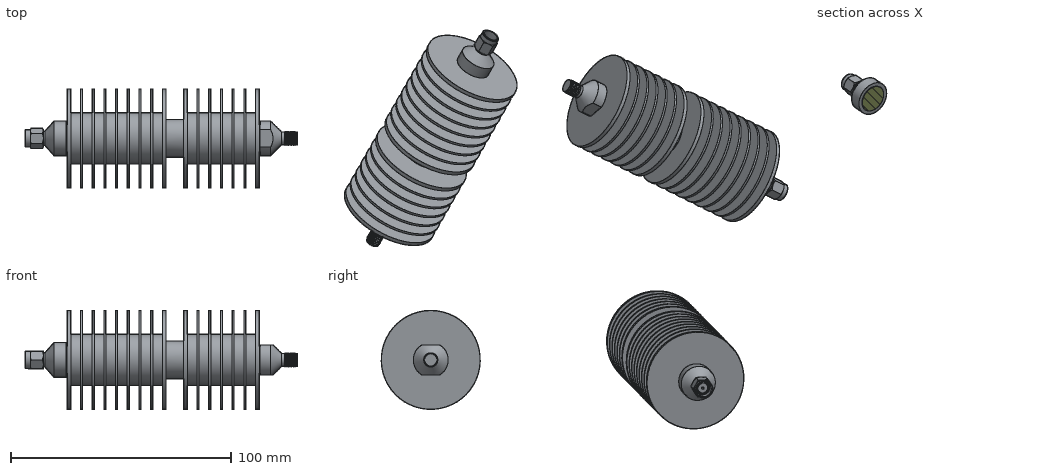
import cadquery as cq
import math

TOTAL_LENGTH = 123.5
LEFT_END = -TOTAL_LENGTH / 2
RIGHT_END = TOTAL_LENGTH / 2

FIN_RADIUS = 22.5
HUB_RADIUS = 11.7
BARREL_RADIUS = 8.6
END_FIN_THICKNESS = 1.7
FIN_THICKNESS = 1.0
FIN_PITCH = 5.3
LEFT_FIN_COUNT = 7
RIGHT_FIN_COUNT = 5
BARREL_LENGTH = 7.9
HEAT_SINK_LEFT = -42.7

COLLAR_RADIUS = 7.9
COLLAR_BASE_RADIUS = 6.2
COLLAR_BASE_LENGTH = 0.4
LEFT_COLLAR_LENGTH = 5.5
LEFT_CONE_LENGTH = 4.1
LEFT_NECK_RADIUS = 3.3
SLEEVE_RADIUS = 2.7
SLEEVE_BEVEL = 0.4
RIGHT_COLLAR_LENGTH = 4.8
RIGHT_NECK_RADIUS = 3.0
COLLAR_ACROSS_FLATS = 13.7

THREAD_RADIUS = 3.2
THREAD_ROOT_RADIUS = 2.7
THREAD_PITCH = 0.7
THREAD_RIDGE_COUNT = 7
THREAD_START = 55.8

NUT_LENGTH = 8.3
NUT_LIP_LENGTH = 2.3
NUT_ACROSS_FLATS = 8.0
NUT_BORE_RADIUS = 3.2
NUT_BORE_DEPTH = 3.7
NUT_REAR_BEVEL_LENGTH = 0.5
NUT_FRONT_BEVEL_LENGTH = 0.4
NUT_LIP_BEVEL = 0.2
NUT_CORNER_RADIUS = NUT_ACROSS_FLATS / 2 / math.cos(math.pi / 6)

PIN_RADIUS = 0.5
PIN_PROTRUSION = 0.7
PIN_SEAT_DEPTH = 2.5

AXIS_START = (0, 0, 0)
AXIS_END = (1, 0, 0)


def finned_length(fin_count):
    """Length over both end fins of a section with fin_count thin fins between them."""
    return 2 * END_FIN_THICKNESS + (fin_count + 1) * FIN_PITCH - FIN_THICKNESS


LEFT_SECTION_END = HEAT_SINK_LEFT + finned_length(LEFT_FIN_COUNT)
RIGHT_SECTION_START = LEFT_SECTION_END + BARREL_LENGTH
HEAT_SINK_RIGHT = RIGHT_SECTION_START + finned_length(RIGHT_FIN_COUNT)
NUT_RIGHT = LEFT_END + NUT_LENGTH
SLEEVE_TIP = LEFT_END + NUT_BORE_DEPTH
PIN_SEAT = SLEEVE_TIP + PIN_SEAT_DEPTH
THREAD_END = THREAD_START + THREAD_RIDGE_COUNT * THREAD_PITCH


def disc(start, end, radius):
    """Cylinder about the X axis between two X positions."""
    return cq.Workplane("YZ", origin=(start, 0, 0)).circle(radius).extrude(end - start)


def turned(profile):
    """Solid turned about the X axis from (x, radius) points."""
    return cq.Workplane("XZ").polyline(profile).close().revolve(360, AXIS_START, AXIS_END)


def finned_profile(start, fin_count):
    """Outline points (x, radius) of one finned section, from its left to its right face."""
    first_fin = start + END_FIN_THICKNESS + FIN_PITCH - FIN_THICKNESS
    end = start + finned_length(fin_count)
    points = [
        (start, FIN_RADIUS),
        (start + END_FIN_THICKNESS, FIN_RADIUS),
        (start + END_FIN_THICKNESS, HUB_RADIUS),
    ]
    for i in range(fin_count):
        left = first_fin + i * FIN_PITCH
        right = left + FIN_THICKNESS
        points += [(left, HUB_RADIUS), (left, FIN_RADIUS), (right, FIN_RADIUS), (right, HUB_RADIUS)]
    points += [
        (end - END_FIN_THICKNESS, HUB_RADIUS),
        (end - END_FIN_THICKNESS, FIN_RADIUS),
        (end, FIN_RADIUS),
    ]
    return points


def make_heat_sink():
    """Both finned sections and the barrel between them, as one turned solid."""
    profile = [(HEAT_SINK_LEFT, 0)]
    profile += finned_profile(HEAT_SINK_LEFT, LEFT_FIN_COUNT)
    profile += [(LEFT_SECTION_END, BARREL_RADIUS), (RIGHT_SECTION_START, BARREL_RADIUS)]
    profile += finned_profile(RIGHT_SECTION_START, RIGHT_FIN_COUNT)
    profile += [(HEAT_SINK_RIGHT, 0)]
    return turned(profile)


def make_left_connector():
    """Collar on a narrow base, cone and neck, with a sleeve through the nut and a blind hole for the pin."""
    collar_base = HEAT_SINK_LEFT - COLLAR_BASE_LENGTH
    collar_left = collar_base - LEFT_COLLAR_LENGTH
    cone_left = collar_left - LEFT_CONE_LENGTH
    body = turned([
        (HEAT_SINK_LEFT, 0),
        (HEAT_SINK_LEFT, COLLAR_BASE_RADIUS),
        (collar_base, COLLAR_BASE_RADIUS),
        (collar_base, COLLAR_RADIUS),
        (collar_left, COLLAR_RADIUS),
        (cone_left, LEFT_NECK_RADIUS),
        (NUT_RIGHT, LEFT_NECK_RADIUS),
        (NUT_RIGHT, SLEEVE_RADIUS),
        (SLEEVE_TIP + SLEEVE_BEVEL, SLEEVE_RADIUS),
        (SLEEVE_TIP, SLEEVE_RADIUS - SLEEVE_BEVEL),
        (SLEEVE_TIP, 0),
    ])
    return body.cut(disc(SLEEVE_TIP, PIN_SEAT, PIN_RADIUS))


def make_pin():
    """Centre pin seated in the sleeve of the left connector."""
    return disc(SLEEVE_TIP - PIN_PROTRUSION, PIN_SEAT, PIN_RADIUS)


def make_nut():
    """Hexagonal coupling nut with bevelled corners, a round front lip and a stepped bore."""
    lip_radius = NUT_ACROSS_FLATS / 2
    hex_left = LEFT_END + NUT_LIP_LENGTH
    hexagon = (
        cq.Workplane("YZ", origin=(LEFT_END, 0, 0))
        .polygon(6, 2 * NUT_CORNER_RADIUS)
        .extrude(NUT_LENGTH)
    )
    envelope = turned([
        (LEFT_END, 0),
        (LEFT_END, lip_radius - NUT_LIP_BEVEL),
        (LEFT_END + NUT_LIP_BEVEL, lip_radius),
        (hex_left, lip_radius),
        (hex_left + NUT_FRONT_BEVEL_LENGTH, NUT_CORNER_RADIUS),
        (NUT_RIGHT - NUT_REAR_BEVEL_LENGTH, NUT_CORNER_RADIUS),
        (NUT_RIGHT, lip_radius),
        (NUT_RIGHT, 0),
    ])
    bore = disc(LEFT_END, SLEEVE_TIP, NUT_BORE_RADIUS)
    sleeve_hole = disc(SLEEVE_TIP, NUT_RIGHT, SLEEVE_RADIUS)
    return envelope.intersect(hexagon).cut(bore).cut(sleeve_hole)


def make_right_connector():
    """Collar with two flats on a narrow base, 45-degree cone and a ridged thread."""
    collar_base = HEAT_SINK_RIGHT + COLLAR_BASE_LENGTH
    collar_right = collar_base + RIGHT_COLLAR_LENGTH
    cone_right = collar_right + COLLAR_RADIUS - RIGHT_NECK_RADIUS
    profile = [
        (HEAT_SINK_RIGHT, 0),
        (HEAT_SINK_RIGHT, COLLAR_BASE_RADIUS),
        (collar_base, COLLAR_BASE_RADIUS),
        (collar_base, COLLAR_RADIUS),
        (collar_right, COLLAR_RADIUS),
        (cone_right, RIGHT_NECK_RADIUS),
        (THREAD_START, RIGHT_NECK_RADIUS),
        (THREAD_START, THREAD_ROOT_RADIUS),
    ]
    for i in range(THREAD_RIDGE_COUNT):
        left = THREAD_START + i * THREAD_PITCH
        profile += [
            (left + THREAD_PITCH / 2, THREAD_RADIUS),
            (left + THREAD_PITCH, THREAD_ROOT_RADIUS),
        ]
    profile += [(THREAD_END, RIGHT_NECK_RADIUS), (RIGHT_END, RIGHT_NECK_RADIUS), (RIGHT_END, 0)]
    flats = cq.Workplane("XY").box(2 * TOTAL_LENGTH, 4 * COLLAR_RADIUS, COLLAR_ACROSS_FLATS)
    return turned(profile).intersect(flats)


heat_sink = make_heat_sink()
left_connector = make_left_connector()
nut = make_nut()
pin = make_pin()
right_connector = make_right_connector()

result = cq.Compound.makeCompound([
    heat_sink.val(),
    left_connector.val(),
    nut.val(),
    pin.val(),
    right_connector.val(),
])